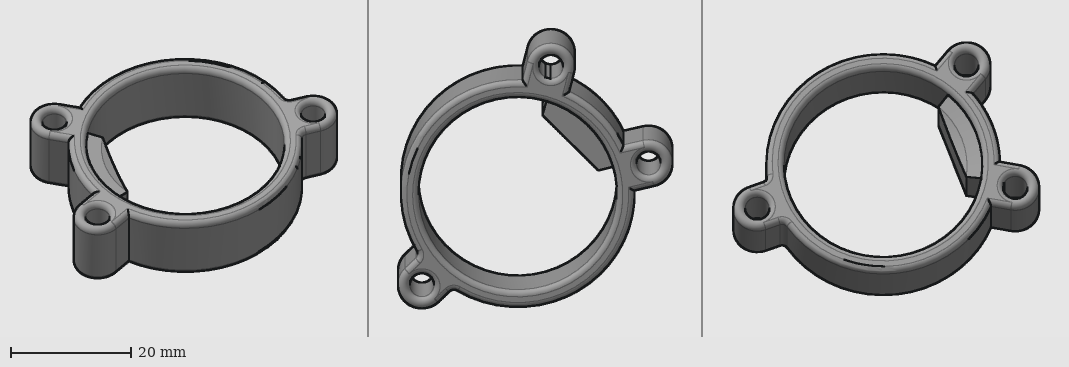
import cadquery as cq
import math

overall_length = 49.6
height = 12.0

ring_outer_radius = 19.5
ring_bore_radius = 16.5

lug_hole_diameter = 4.0
lug_radius = lug_hole_diameter
edge_radius = (lug_radius - lug_hole_diameter / 2) / 2
lug_crest_radius = lug_hole_diameter / 2 + edge_radius
lower_lug_angle = 31.2
rear_corner_radius = 1.0
lug_circle_radius = (overall_length - 2 * lug_radius) / (1 + math.cos(math.radians(lower_lug_angle)))
lug_directions = [90.0, -90.0 - lower_lug_angle, -90.0 + lower_lug_angle]

insert_width = 0.95
insert_depth = 1.0
insert_direction = lug_directions[1]

key_step_radius = 14.0
key_half_width = 6.65
key_flank_angle = 30.0
key_rim_drop = 0.5
key_inner_slope = 25.0
key_bottom = edge_radius
key_top = 10.6
key_flat_y = -math.sqrt(key_step_radius**2 - key_half_width**2)


def make_lug(direction):
    """Round-ended arm that reaches from inside the ring wall out to the eyelet centre."""
    root_radius = (ring_bore_radius + ring_outer_radius) / 2
    arm_length = lug_circle_radius - root_radius
    arm = (
        cq.Workplane("XY")
        .center(root_radius + arm_length / 2, 0)
        .rect(arm_length, 2 * lug_radius)
        .extrude(height)
    )
    eye = cq.Workplane("XY").center(lug_circle_radius, 0).circle(lug_radius).extrude(height)
    return arm.union(eye).rotate((0, 0, 0), (0, 0, 1), direction)


def make_lug_cylinder(radius, direction):
    """Full-height cylinder on the axis of one eyelet."""
    cylinder = cq.Workplane("XY").center(lug_circle_radius, 0).circle(radius).extrude(height)
    return cylinder.rotate((0, 0, 0), (0, 0, 1), direction)


def make_collar(direction):
    """Sleeve around one eyelet hole whose two mouths are rounded out to the crest of the lug."""
    hole_radius = lug_hole_diameter / 2
    arc_radius = hole_radius + edge_radius * (1 - math.sqrt(0.5))
    arc_depth = edge_radius * (1 - math.sqrt(0.5))
    profile = (
        cq.Workplane("XZ")
        .moveTo(hole_radius, edge_radius)
        .threePointArc((arc_radius, arc_depth), (lug_crest_radius, 0))
        .lineTo(lug_crest_radius, height)
        .threePointArc((arc_radius, height - arc_depth), (hole_radius, height - edge_radius))
        .close()
    )
    collar = profile.revolve(360, (0, 0), (0, 1)).rotate((0, 0, 0), (0, 0, 1), 180)
    return collar.translate((lug_circle_radius, 0, 0)).rotate((0, 0, 0), (0, 0, 1), direction)


def make_housing():
    """Ring with three eyelet lugs, rounded along every top and bottom edge."""
    housing = cq.Workplane("XY").circle(ring_outer_radius).extrude(height)
    for direction in lug_directions:
        housing = housing.union(make_lug(direction))

    corner_y = math.sqrt(ring_outer_radius**2 - lug_radius**2)
    for side in (-1, 1):
        corner = cq.selectors.NearestToPointSelector((side * lug_radius, corner_y, height / 2))
        housing = housing.edges("|Z").edges(corner).fillet(rear_corner_radius)

    housing = housing.cut(cq.Workplane("XY").circle(ring_bore_radius).extrude(height))
    housing = housing.faces("<Z or >Z").edges().fillet(edge_radius)
    for direction in lug_directions:
        housing = housing.cut(make_lug_cylinder(lug_crest_radius, direction))
        housing = housing.union(make_collar(direction))
    return housing.cut(make_insert_blank())


def make_insert_blank():
    """Upright bar on the ring side of one eyelet; it starts at the eyelet axis."""
    length = lug_hole_diameter / 2 + insert_depth
    bar = (
        cq.Workplane("XY", origin=(0, 0, edge_radius))
        .center(lug_circle_radius - length / 2, 0)
        .rect(length, insert_width)
        .extrude(height - 2 * edge_radius)
    )
    return bar.rotate((0, 0, 0), (0, 0, 1), insert_direction)


def make_insert():
    """Narrow bar set into the eyelet wall, its exposed face flush with the hole."""
    return make_insert_blank().cut(make_lug_cylinder(lug_hole_diameter / 2, insert_direction))


def make_key():
    """Trapezoidal block on the bore wall; its top is two cones that fall towards the ring axis."""
    flank_reach = ring_bore_radius + key_flat_y
    base_half_width = key_half_width + flank_reach * math.tan(math.radians(key_flank_angle))
    plan = (
        cq.Workplane("XY")
        .polyline([
            (-key_half_width, key_flat_y),
            (key_half_width, key_flat_y),
            (base_half_width, -ring_bore_radius),
            (-base_half_width, -ring_bore_radius),
        ])
        .close()
        .extrude(height)
    )
    step_height = key_top - key_rim_drop
    axis_height = step_height - key_step_radius * math.tan(math.radians(key_inner_slope))
    envelope = (
        cq.Workplane("XZ")
        .polyline([
            (0, key_bottom),
            (ring_bore_radius, key_bottom),
            (ring_bore_radius, key_top),
            (key_step_radius, step_height),
            (0, axis_height),
        ])
        .close()
        .revolve(360, (0, 0), (0, 1))
    )
    return plan.intersect(envelope)


housing = make_housing()
insert = make_insert()
key = make_key()

result = cq.Compound.makeCompound([housing.solids().val(), insert.solids().val(), key.solids().val()])